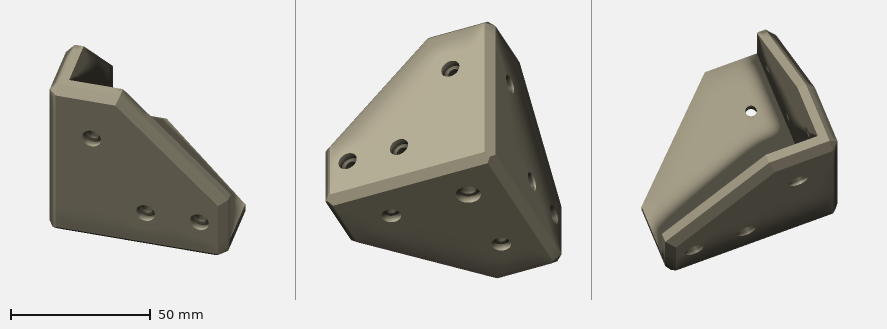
import cadquery as cq

SIZE = 66.25
THICKNESS = 6.3
CHAMFER = 3.0
PITCH = 10.0
SCREW_DIAMETER = 4.1
SCREW_HEAD_DIAMETER = 7.1
CENTRE_DIAMETER = 6.1
CENTRE_HEAD_DIAMETER = 9.1
HEAD_DEPTH = 3.0

SHORT_EDGE = THICKNESS + 2 * PITCH
NEAR = THICKNESS + PITCH
MIDDLE = THICKNESS + 3 * PITCH
FAR = THICKNESS + 4 * PITCH
FAR_SIDE = THICKNESS + 5 * PITCH

FRONT = cq.Plane(origin=(0, 0, 0), xDir=(0, 0, 1), normal=(0, 1, 0))
LEFT = cq.Plane(origin=(0, 0, 0), xDir=(0, 1, 0), normal=(1, 0, 0))
BOTTOM = cq.Plane(origin=(0, 0, 0), xDir=(1, 0, 0), normal=(0, 0, 1))


def plate(plane):
    """Square plate with one corner cut off diagonally."""
    outline = [(0, 0), (SIZE, 0), (SIZE, SHORT_EDGE), (SHORT_EDGE, SIZE), (0, SIZE)]
    return cq.Workplane(plane).polyline(outline).close().extrude(THICKNESS)


def counterbored_holes(plane, points, diameter, head_diameter):
    """Through holes with their heads sunk into the outer face."""
    shafts = cq.Workplane(plane).pushPoints(points).circle(diameter / 2).extrude(THICKNESS)
    heads = cq.Workplane(plane).pushPoints(points).circle(head_diameter / 2).extrude(HEAD_DEPTH)
    return shafts.union(heads)


body = plate(FRONT).union(plate(LEFT)).union(plate(BOTTOM)).clean()

body = body.faces("<X or <Y").edges("not(<Z)").chamfer(CHAMFER)

bevelled_envelope = (
    cq.Workplane(BOTTOM)
    .polyline([
        (0, 0),
        (SIZE - CHAMFER, 0),
        (SIZE, CHAMFER),
        (SIZE, SHORT_EDGE),
        (SHORT_EDGE, SIZE),
        (0, SIZE),
    ])
    .close()
    .extrude(SIZE)
    .faces("<Z")
    .edges()
    .chamfer(CHAMFER)
)
body = body.intersect(bevelled_envelope)

screw_positions = [
    (FRONT, [(FAR, NEAR), (NEAR, MIDDLE), (NEAR, FAR_SIDE)]),
    (LEFT, [(NEAR, FAR), (MIDDLE, NEAR), (FAR_SIDE, NEAR)]),
    (BOTTOM, [(NEAR, FAR), (FAR, NEAR)]),
]
for plane, points in screw_positions:
    body = body.cut(counterbored_holes(plane, points, SCREW_DIAMETER, SCREW_HEAD_DIAMETER))

result = body.cut(
    counterbored_holes(BOTTOM, [(NEAR, NEAR)], CENTRE_DIAMETER, CENTRE_HEAD_DIAMETER)
)